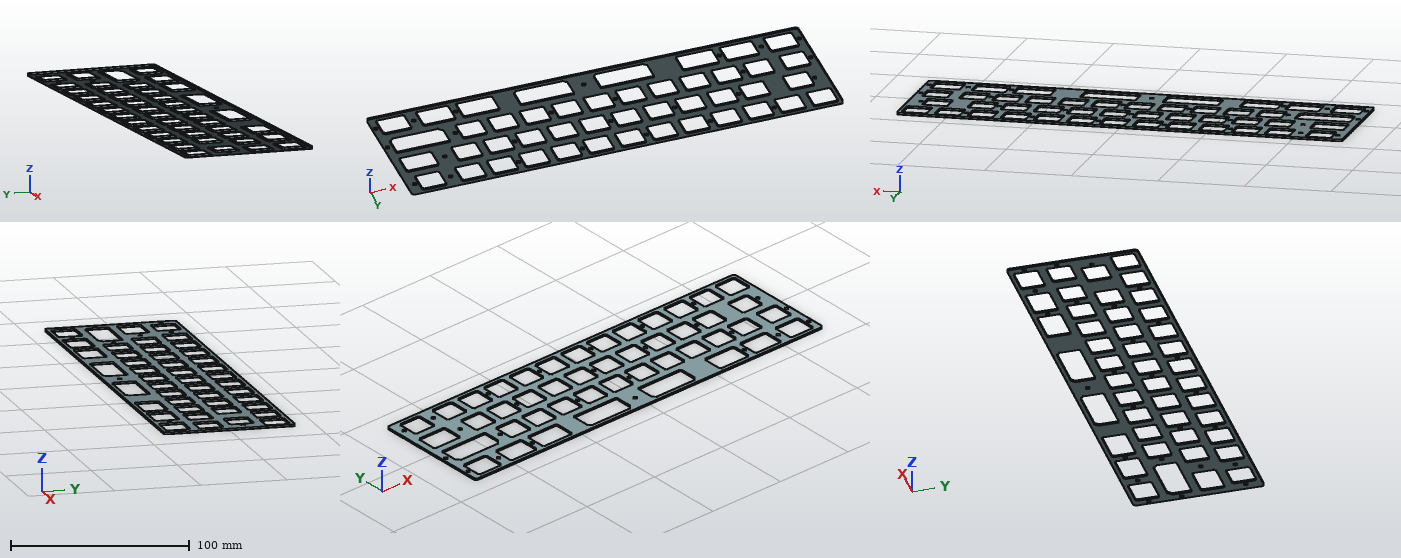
import cadquery as cq

KEY_UNIT = 19.05
ROW_COUNT = 4
ROW_UNITS = 13.5

PLATE_LENGTH = 257.18
PLATE_WIDTH = ROW_COUNT * KEY_UNIT
PLATE_THICKNESS = 1.18
PLATE_CORNER_RADIUS = 2.0

SWITCH_LENGTH = 14.6
OPENING_WIDTH = 14.0
SWITCH_CORNER_CHAMFER = 1.0

LONG_KEY_LENGTH = 32.0
LONG_KEY_TOP_RADIUS = 1.0
SHIFT_BOTTOM_CHAMFER = 2.5
SPACE_BOTTOM_CHAMFER = 2.0

SCREW_HOLE_DIAMETER = 2.2


def single_keys(first_position, count=1):
    """Fixed switches one unit apart, each as an equal (first, last) pair."""
    return [(first_position + i, first_position + i) for i in range(count)]


def mirrored(switches):
    """The same switches counted from the right end of the plate."""
    return [(ROW_UNITS - last, ROW_UNITS - first) for first, last in switches]


MODIFIER_SWITCHES = [(0.625, 0.75), (1.875, 2.125), (3.125, 3.5)]

SWITCHES = [
    single_keys(0.75) + single_keys(2, count=12),
    [(0.625, 0.875)] + single_keys(2.25, count=10) + single_keys(12.625),
    single_keys(2.75, count=10) + single_keys(12.875),
    MODIFIER_SWITCHES + mirrored(MODIFIER_SWITCHES),
]
LONG_KEYS = [
    [],
    [],
    [(1.125, SHIFT_BOTTOM_CHAMFER)],
    [(5.375, SPACE_BOTTOM_CHAMFER), (7.875, SPACE_BOTTOM_CHAMFER)],
]
SCREW_HOLES = [
    [0.25, 1.375, 3.5, 5.5, 7.5, 9.5, 11.5],
    [1.55, 3.75, 6.75, 8.75, 10.75, 13.125],
    [0.125, 2.25, 5.25, 7.25, 11.25, 13.375],
    [0.125, 1.3125, 2.625, 6.625, 10.875, 12.1875, 13.375],
]


def place(position, row):
    """Centre on the plate for a position in key units along a row."""
    x = (position - ROW_UNITS / 2) * KEY_UNIT
    y = ((ROW_COUNT - 1) / 2 - row) * KEY_UNIT
    return cq.Vector(x, y, 0)


def slab(length, width):
    """Rectangular block of plate thickness, centred on the origin."""
    return cq.Workplane("XY").box(length, width, PLATE_THICKNESS)


def switch_cutter(first, last, row):
    length = SWITCH_LENGTH + (last - first) * KEY_UNIT
    cutter = slab(length, OPENING_WIDTH).edges("|Z").chamfer(SWITCH_CORNER_CHAMFER)
    return cutter.translate(place((first + last) / 2, row))


def long_key_cutter(position, bottom_chamfer, row):
    cutter = slab(LONG_KEY_LENGTH, OPENING_WIDTH)
    cutter = cutter.edges("|Z and >Y").fillet(LONG_KEY_TOP_RADIUS)
    cutter = cutter.edges("|Z and <Y").chamfer(bottom_chamfer)
    return cutter.translate(place(position, row))


def cut_key_openings(plate):
    for row in range(ROW_COUNT):
        for first, last in SWITCHES[row]:
            plate = plate.cut(switch_cutter(first, last, row))
        for position, bottom_chamfer in LONG_KEYS[row]:
            plate = plate.cut(long_key_cutter(position, bottom_chamfer, row))
    return plate


def drill_screw_holes(plate):
    centres = [place(position, row) for row in range(ROW_COUNT) for position in SCREW_HOLES[row]]
    top = plate.faces(">Z").workplane(origin=(0, 0, 0))
    return top.pushPoints(centres).hole(SCREW_HOLE_DIAMETER)


plate = slab(PLATE_LENGTH, PLATE_WIDTH).edges("|Z").fillet(PLATE_CORNER_RADIUS)
plate = cut_key_openings(plate)
result = drill_screw_holes(plate)